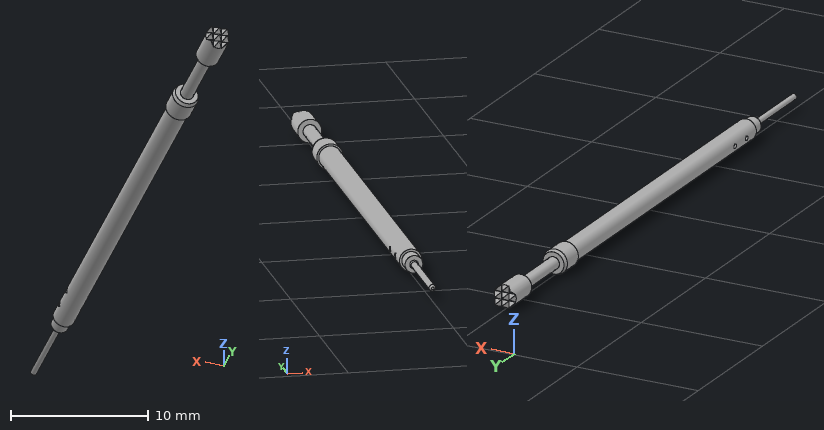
import cadquery as cq

overall_length = 45.6
head_end = 2.95
collar_start = 8.0
collar_lead_length = 0.3
collar_end = 10.0
barrel_end = 38.0
sleeve_end = 39.1
tail_lead_length = 0.15
tail_chamfer = 0.15

head_diameter = 1.8
neck_diameter = 1.0
collar_diameter = 2.0
collar_nose_diameter = 1.75
barrel_diameter = 1.7
sleeve_diameter = 1.34
tail_lead_diameter = 0.64
tail_diameter = 0.5

peak_pitch = 0.6
peaks_per_row = 3
serration_slope = 1.75
rim_clearance = 0.1

dent_diameter = 0.36
dent_stations = (34.7, 36.5)

peak_y = collar_end


def y_at(station):
    """Y coordinate of a distance measured back from the peaks."""
    return peak_y - station


def turned_body():
    """Revolve the half profile about the Y axis."""
    profile = [
        (0, y_at(0)),
        (head_diameter / 2, y_at(0)),
        (head_diameter / 2, y_at(head_end)),
        (neck_diameter / 2, y_at(head_end)),
        (neck_diameter / 2, y_at(collar_start)),
        (collar_nose_diameter / 2, y_at(collar_start)),
        (collar_diameter / 2, y_at(collar_start + collar_lead_length)),
        (collar_diameter / 2, y_at(collar_end)),
        (barrel_diameter / 2, y_at(collar_end)),
        (barrel_diameter / 2, y_at(barrel_end)),
        (sleeve_diameter / 2, y_at(barrel_end)),
        (sleeve_diameter / 2, y_at(sleeve_end)),
        (tail_lead_diameter / 2, y_at(sleeve_end)),
        (tail_diameter / 2, y_at(sleeve_end + tail_lead_length)),
        (tail_diameter / 2, y_at(overall_length - tail_chamfer)),
        (tail_diameter / 2 - tail_chamfer, y_at(overall_length)),
        (0, y_at(overall_length)),
    ]
    return (
        cq.Workplane("XY")
        .polyline(profile)
        .close()
        .revolve(360, (0, 0), (0, 1))
    )


def valley_cutter():
    """Prism along Z with V teeth that leaves rows of ridges and bevels the outer ones."""
    outer_peak = (peaks_per_row - 1) / 2 * peak_pitch
    bevel_reach = head_diameter / 2 + rim_clearance
    bevel_y = y_at((bevel_reach - outer_peak) * serration_slope)
    valley_y = y_at(peak_pitch / 2 * serration_slope)

    outline = [(-bevel_reach, bevel_y), (-outer_peak, y_at(0))]
    for valley in range(peaks_per_row - 1):
        valley_x = (valley + 0.5) * peak_pitch - outer_peak
        outline.append((valley_x, valley_y))
        outline.append((valley_x + peak_pitch / 2, y_at(0)))
    outline.append((bevel_reach, bevel_y))
    outline.append((bevel_reach, y_at(-rim_clearance)))
    outline.append((-bevel_reach, y_at(-rim_clearance)))
    return cq.Workplane("XY").polyline(outline).close().extrude(head_diameter, both=True)


def cut_serrations(body):
    """Cross two sets of V grooves over the head face."""
    grooves = valley_cutter()
    crossing_grooves = grooves.rotate((0, 0, 0), (0, 1, 0), 90)
    return body.cut(grooves).cut(crossing_grooves)


def cut_dents(body):
    """Press the spherical dents into the +X and -X sides of the barrel."""
    for station in dent_stations:
        for side in (-1, 1):
            dent = cq.Workplane("XY").sphere(dent_diameter / 2)
            dent = dent.translate((side * barrel_diameter / 2, y_at(station), 0))
            body = body.cut(dent)
    return body


result = cut_dents(cut_serrations(turned_body()))